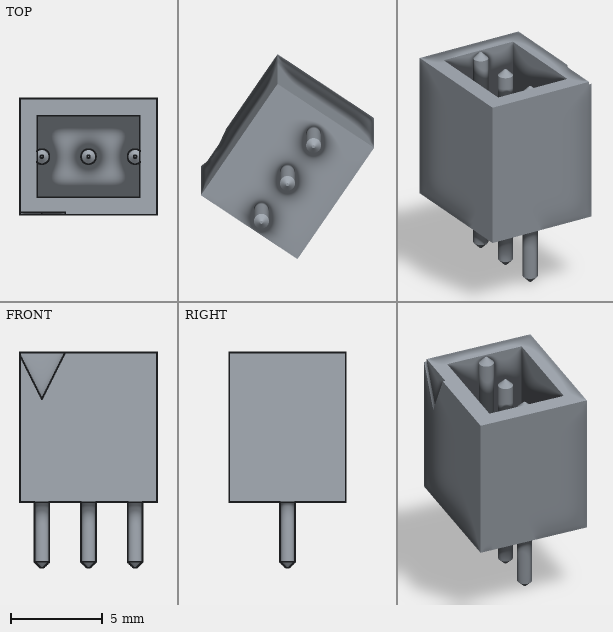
import cadquery as cq


housing_length = 7.47
housing_width = 6.35
overall_height = 11.74
housing_height = 8.16
cavity_length = 5.588
cavity_width = 4.445
floor_thickness = 1.5

pin_count = 3
pin_pitch = 2.54
pin_diameter = 0.82
pin_tip_diameter = 0.16
pin_tip_length = 0.33
pin_top = housing_height
pin_bottom = housing_height - overall_height

marker_width = pin_pitch
marker_height = pin_pitch
marker_depth = 0.15

first_pin_x = -pin_pitch * (pin_count - 1) / 2
pin_places = [first_pin_x + index * pin_pitch for index in range(pin_count)]


def make_pin(x):
    """Round pin along Z with a flat-ended cone at each end."""
    radius = pin_diameter / 2
    tip_radius = pin_tip_diameter / 2
    half_profile = [
        (0, pin_bottom),
        (tip_radius, pin_bottom),
        (radius, pin_bottom + pin_tip_length),
        (radius, pin_top - pin_tip_length),
        (tip_radius, pin_top),
        (0, pin_top),
    ]
    pin = cq.Workplane("XZ").polyline(half_profile).close().revolve(360, (0, 0), (0, 1))
    return pin.translate((x, 0, 0))


def make_marker_cutter():
    """Triangular prism pointing down at the first pin."""
    triangle = [
        (first_pin_x - marker_width / 2, housing_height),
        (first_pin_x + marker_width / 2, housing_height),
        (first_pin_x, housing_height - marker_height),
    ]
    front_face = cq.Workplane("XZ", origin=(0, -housing_width / 2, 0))
    return front_face.polyline(triangle).close().extrude(-marker_depth)


def make_housing(pins):
    """Box open at the top, fitted around the pins where they pass its floor and end walls."""
    block = cq.Workplane("XY").rect(housing_length, housing_width).extrude(housing_height)
    cavity = (
        cq.Workplane("XY")
        .workplane(offset=floor_thickness)
        .rect(cavity_length, cavity_width)
        .extrude(housing_height - floor_thickness)
    )
    housing = block.cut(cavity).cut(make_marker_cutter())
    for pin in pins:
        housing = housing.cut(pin)
    return housing


pins = [make_pin(x) for x in pin_places]
housing = make_housing(pins)

result = cq.Compound.makeCompound([housing.val(), *[pin.val() for pin in pins]])